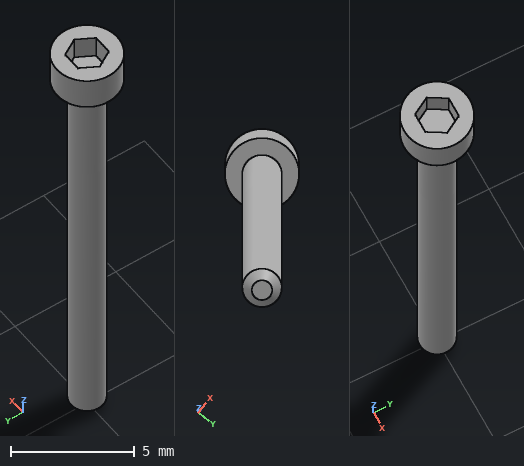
import cadquery as cq
import math

total_length = 21.6
head_diameter = 3.0
head_height = 1.6
shank_diameter = 1.6
plain_shank_length = 5.0
tip_chamfer = 0.39
hex_across_flats = 1.53
socket_depth = 1.1

head_bottom = total_length - head_height
thread_top = head_bottom - plain_shank_length
hex_across_corners = hex_across_flats / math.cos(math.pi / 6)


def make_threaded_shank():
    """Simplified thread: a cylinder with a chamfered tip."""
    thread = cq.Workplane("XY").circle(shank_diameter / 2).extrude(thread_top)
    return thread.faces("<Z").chamfer(tip_chamfer)


def make_plain_shank():
    return (
        cq.Workplane("XY", origin=(0, 0, thread_top))
        .circle(shank_diameter / 2)
        .extrude(plain_shank_length)
    )


def make_head():
    return (
        cq.Workplane("XY", origin=(0, 0, head_bottom))
        .circle(head_diameter / 2)
        .extrude(head_height)
    )


def make_hex_socket():
    """Hexagonal recess with two corners on the X axis."""
    return (
        cq.Workplane("XY", origin=(0, 0, total_length))
        .polygon(6, hex_across_corners)
        .extrude(-socket_depth)
    )


shank = make_threaded_shank().union(make_plain_shank(), clean=False)
screw = shank.union(make_head(), clean=False)
result = screw.cut(make_hex_socket(), clean=False)